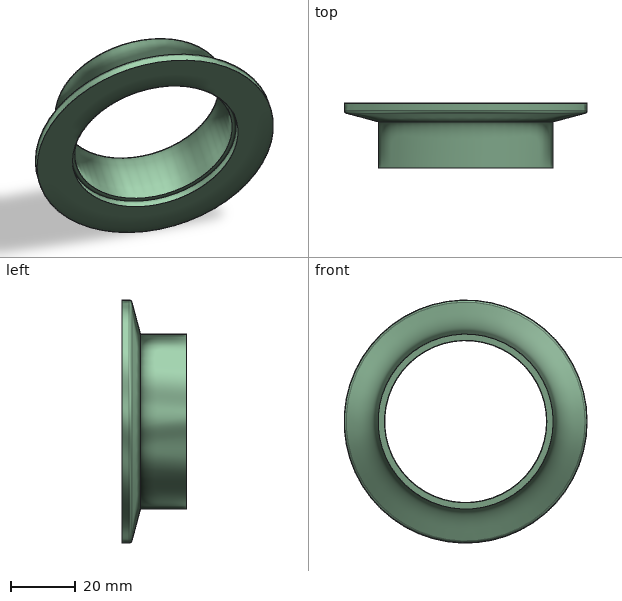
import cadquery as cq
import math

flange_radius = 37.5
tube_radius = 27.0
bore_radius = 25.0
length = 20.0
cone_angle = math.radians(15.0)
cone_start = 14.25
rim_round = 0.9
recess_radius = 26.25
recess_depth = 2.4

corner_y = cone_start + (flange_radius - tube_radius) * math.tan(cone_angle)
round_turn = math.pi / 2 - cone_angle
tangent_length = rim_round * math.tan(round_turn / 2)
round_center = (flange_radius - rim_round, corner_y + tangent_length)


def round_point(angle):
    """Point on the rim rounding, at an angle below the radial direction."""
    return (
        round_center[0] + rim_round * math.cos(angle),
        round_center[1] - rim_round * math.sin(angle),
    )


recess_floor = length - recess_depth
section = (
    cq.Workplane("XY")
    .moveTo(bore_radius, 0)
    .lineTo(tube_radius, 0)
    .lineTo(tube_radius, cone_start)
    .lineTo(*round_point(round_turn))
    .threePointArc(round_point(round_turn / 2), round_point(0))
    .lineTo(flange_radius, length)
    .lineTo(recess_radius, length)
    .lineTo(recess_radius, recess_floor)
    .lineTo(bore_radius, recess_floor)
    .close()
)

result = section.revolve(360, (0, 0, 0), (0, 1, 0))